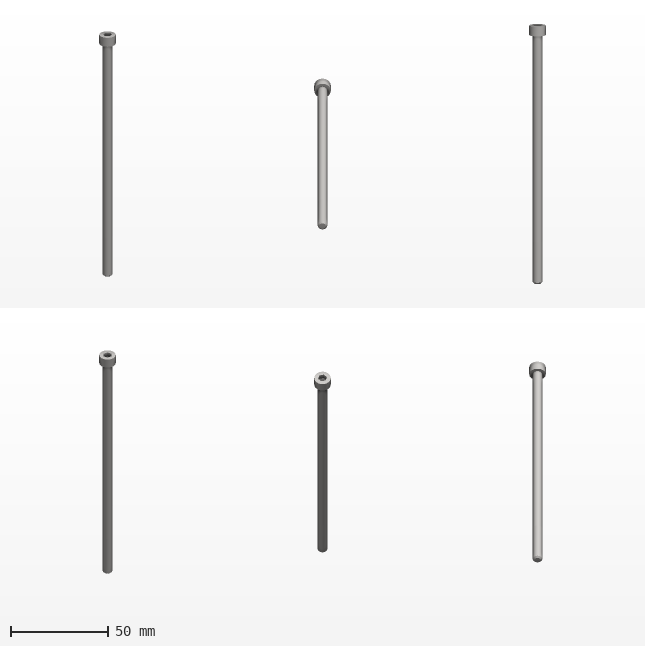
import cadquery as cq
import math

total_length = 135.0
head_diameter = 8.5
head_height = 5.0
shank_diameter = 5.0
thread_length = 22.0
tip_chamfer = 0.8
socket_width = 4.0
socket_depth = 2.5

shank_length = total_length - head_height
plain_length = shank_length - thread_length

head = cq.Workplane("XY").circle(head_diameter / 2).extrude(head_height)

plain_shank = cq.Workplane("XY").circle(shank_diameter / 2).extrude(-plain_length)

thread = (
    cq.Workplane("XY", origin=(0, 0, -shank_length))
    .circle(shank_diameter / 2)
    .extrude(thread_length)
    .faces("<Z")
    .chamfer(tip_chamfer)
)

socket_corner_diameter = socket_width / math.cos(math.pi / 6)
socket = (
    cq.Workplane("XY", origin=(0, 0, head_height))
    .polygon(6, socket_corner_diameter)
    .extrude(-socket_depth)
)

result = head.union(plain_shank).union(thread).cut(socket)